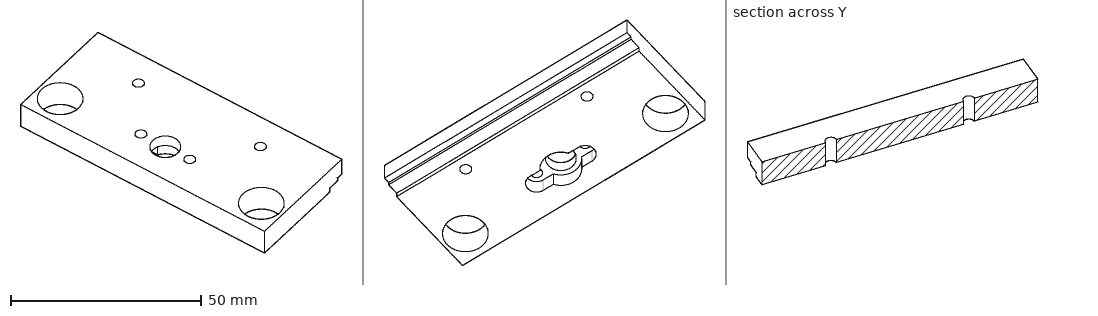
import cadquery as cq

length = 80.0
width = 34.0
thickness = 8.0

outer_step_depth = 1.8
outer_step_height = 2.5
inner_step_depth = 5.3
inner_step_height = 1.5

large_hole_diameter = 12.0
large_hole_spacing = 66.0
large_hole_y = -9.0

small_hole_diameter = 3.1

rear_hole_spacing = 40.0
rear_hole_y = 8.0

bore_diameter = 8.1
bore_y = -7.0
side_hole_spacing = 16.0

recess_top_depth = 3.5
recess_height = thickness - recess_top_depth
recess_diameter = 11.0
slot_width = 5.8
slot_length = side_hole_spacing + slot_width


def stepped_plate():
    """Side profile in the YZ plane, extruded along X."""
    front = -width / 2
    back = width / 2
    profile = [
        (front, 0),
        (back - inner_step_depth, 0),
        (back - inner_step_depth, inner_step_height),
        (back - outer_step_depth, inner_step_height),
        (back - outer_step_depth, outer_step_height),
        (back, outer_step_height),
        (back, thickness),
        (front, thickness),
    ]
    return cq.Workplane("YZ").polyline(profile).close().extrude(length / 2, both=True)


def through_hole(x, y, diameter):
    """Cylinder through the full thickness, to be cut away."""
    return cq.Workplane("XY").center(x, y).circle(diameter / 2).extrude(thickness)


def hole_pair(spacing, y, diameter):
    """Two equal through holes placed symmetrically about X = 0."""
    left = through_hole(-spacing / 2, y, diameter)
    right = through_hole(spacing / 2, y, diameter)
    return left.union(right)


def underside_recess():
    """Pocket and slot volume, rising from the underside to the recess ceiling."""
    base = cq.Workplane("XY").center(0, bore_y)
    pocket = base.circle(recess_diameter / 2).extrude(recess_height)
    slot = base.slot2D(slot_length, slot_width).extrude(recess_height)
    return pocket.union(slot)


result = (
    stepped_plate()
    .cut(hole_pair(large_hole_spacing, large_hole_y, large_hole_diameter))
    .cut(hole_pair(rear_hole_spacing, rear_hole_y, small_hole_diameter))
    .cut(hole_pair(side_hole_spacing, bore_y, small_hole_diameter))
    .cut(through_hole(0, bore_y, bore_diameter))
    .cut(underside_recess())
)